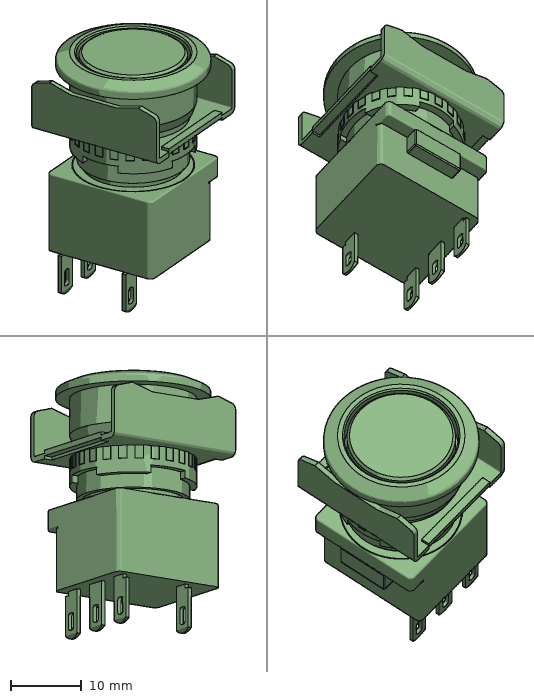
import cadquery as cq

TOP = 36.9
RIM_BOTTOM = TOP - 2.03
TAPER_TOP = TOP - 7.4
TAPER_BOTTOM = TOP - 8.93
NUT_TOP = TOP - 10.85
SLOT_BOTTOM = TOP - 12.73
NUT_BOTTOM = TOP - 14.75
THREAD_BOTTOM = TOP - 16.75
BLOCK_TOP = TOP - 17.75
BLOCK_BOTTOM = TOP - 29.93

BEZEL_R = 11.0
FACE_R = 9.0
CONE_DROP = 0.9
RIM_FILLET = 0.45
BARREL_R = 9.0
TAPER_R = 8.5
THREAD_R = 8.0
NECK_R = 7.25
DISC_R = 8.55
DISC_HEIGHT = 2.0
DISC_GAP = 0.1

GROOVE_R = 8.08
GROOVE_LIP = 0.22
BUTTON_R = 7.68
BUTTON_CHAMFER = 0.37
GROOVE_DEPTH = 2.95

NUT_R = BARREL_R
SLOT_COUNT = 24
SLOT_WIDTH = 1.2
SLOT_FLOOR_R = 8.9
NOTCH_WIDTH = 5.9
NOTCH_HEIGHT = 1.07

BRACKET_LENGTH = 21.0
BRACKET_WIDTH = 20.5
SHEET = 0.8
BEND_R = 1.0
EAR_PEAK = TOP - 2.6
EAR_PEAK_X = 7.45
EAR_VALLEY = TOP - 3.55
EAR_VALLEY_X = 3.9
EAR_CORNER = TOP - 3.47
EAR_CORNER_R = 1.0
STRIP_DEPTH = 1.3
STRIP_LENGTH = 13.85
STRIP_RISE = 0.45

BLOCK_SIDE = 17.7
BLOCK_CORNER_R = 0.8
BLOCK_EDGE_R = 0.25
OVERHANG = 2.0
OVERHANG_HEIGHT = 3.1
CLEAT_HEIGHT = 6.53
CLEAT_WIDTH = 8.0
CLEAT_EDGE = 0.2

TERMINAL_THICKNESS = 0.6
TERMINAL_HALF_WIDTH = 1.48
TERMINAL_OUTER_HALF_WIDTH = 1.35
SHOULDER_HALF_WIDTH = 0.65
SHOULDER_DROP = 0.6
TERMINAL_PITCH = 6.0
TERMINAL_ROW_X = -6.95
LONE_TERMINAL_X = 3.85
TIP_HEIGHT = 0.6
TIP_BEVEL = 0.15
EYE_WIDTH = 1.2
EYE_LENGTH = 2.5
EYE_CENTER = 2.5
EYE_CORNER_R = 0.45


def cylinder(radius, bottom, top):
    return cq.Workplane("XY", origin=(0, 0, bottom)).circle(radius).extrude(top - bottom)


def turn(shape, angle):
    """Turn a shape about the vertical axis."""
    return shape.rotate((0, 0, 0), (0, 0, 1), angle)


def make_operator():
    outline = [
        (0, TOP),
        (BUTTON_R - BUTTON_CHAMFER, TOP),
        (BUTTON_R, TOP - BUTTON_CHAMFER),
        (BUTTON_R, TOP - GROOVE_DEPTH),
        (GROOVE_R, TOP - GROOVE_DEPTH),
        (GROOVE_R, TOP - GROOVE_LIP),
        (GROOVE_R + GROOVE_LIP, TOP),
        (FACE_R, TOP),
        (BEZEL_R, TOP - CONE_DROP),
        (BEZEL_R, RIM_BOTTOM),
        (BARREL_R, RIM_BOTTOM),
        (BARREL_R, TAPER_TOP),
        (TAPER_R, TAPER_BOTTOM),
        (THREAD_R, TAPER_BOTTOM),
        (THREAD_R, THREAD_BOTTOM),
        (NECK_R, THREAD_BOTTOM),
        (NECK_R, BLOCK_TOP),
        (DISC_R, BLOCK_TOP),
        (DISC_R, BLOCK_TOP - DISC_HEIGHT),
        (0, BLOCK_TOP - DISC_HEIGHT),
    ]
    body = cq.Workplane("XZ").polyline(outline).close().revolve(360, (0, 0), (0, 1))
    rim_edge = cq.selectors.NearestToPointSelector((0, 0, TOP - CONE_DROP))
    return body.edges(rim_edge).fillet(RIM_FILLET)


def make_nut():
    nut = cylinder(NUT_R, NUT_BOTTOM, NUT_TOP)
    notch = cq.Workplane("XY", origin=(0, 0, NUT_BOTTOM)).rect(3 * NUT_R, NOTCH_WIDTH).extrude(NOTCH_HEIGHT)
    for angle in (0, 90):
        nut = nut.cut(turn(notch, angle))
    slot = (
        cq.Workplane("XY", origin=(NUT_R, 0, SLOT_BOTTOM))
        .rect(NUT_R / 2, SLOT_WIDTH)
        .extrude(NUT_TOP - SLOT_BOTTOM)
        .cut(cylinder(SLOT_FLOOR_R, SLOT_BOTTOM, NUT_TOP))
    )
    for index in range(SLOT_COUNT):
        nut = nut.cut(turn(slot, index * 360 / SLOT_COUNT))
    return nut.cut(cylinder(THREAD_R, NUT_BOTTOM, NUT_TOP))


def rounded_channel(width, bottom, bend_radius):
    """A bar along X up to the ear peaks, with its two lower edges rounded."""
    return (
        cq.Workplane("XY", origin=(0, 0, bottom))
        .box(BRACKET_LENGTH, width, EAR_PEAK - bottom, centered=(True, True, False))
        .edges("|X and <Z").fillet(bend_radius)
    )


def ear_profile():
    """The wavy outline of the ears, wide enough in Y to hold the whole bracket."""
    half_length = BRACKET_LENGTH / 2
    profile = (
        cq.Workplane("XZ")
        .polyline([
            (-half_length, NUT_TOP),
            (-half_length, EAR_CORNER),
            (-EAR_PEAK_X, EAR_PEAK),
            (-EAR_VALLEY_X, EAR_VALLEY),
            (EAR_VALLEY_X, EAR_VALLEY),
            (EAR_PEAK_X, EAR_PEAK),
            (half_length, EAR_CORNER),
            (half_length, NUT_TOP),
        ])
        .close()
        .extrude(BRACKET_WIDTH / 2, both=True)
    )
    for side in ("<X", ">X"):
        profile = profile.faces(side).edges("|Y and >Z").fillet(EAR_CORNER_R)
    return profile


def make_bracket():
    outside = rounded_channel(BRACKET_WIDTH, NUT_TOP, BEND_R)
    inside = rounded_channel(BRACKET_WIDTH - 2 * SHEET, NUT_TOP + SHEET, BEND_R - SHEET)
    bracket = outside.cut(inside).intersect(ear_profile())
    for side in (-1, 1):
        strip_x = side * (BRACKET_LENGTH - STRIP_DEPTH) / 2
        strip = (
            cq.Workplane("XY", origin=(strip_x, 0, NUT_TOP)).rect(STRIP_DEPTH, STRIP_LENGTH).extrude(SHEET)
        )
        bracket = bracket.cut(strip).union(strip.translate((0, 0, STRIP_RISE)))
    return bracket.cut(cylinder(THREAD_R, NUT_TOP, TOP))


def block_slab(y_back, bottom, top):
    """A slab with rounded corners from the front of the block back to y_back."""
    depth = y_back + BLOCK_SIDE / 2
    return (
        cq.Workplane("XY", origin=(0, y_back - depth / 2, bottom))
        .box(BLOCK_SIDE, depth, top - bottom, centered=(True, True, False))
        .edges("|Z").fillet(BLOCK_CORNER_R)
    )


def make_case():
    """The block's case: the upper slab hangs over the lower part at the back."""
    slab_back = BLOCK_SIDE / 2
    lower_back = slab_back - OVERHANG
    slab_bottom = BLOCK_TOP - OVERHANG_HEIGHT
    slab = block_slab(slab_back, slab_bottom, BLOCK_TOP).faces("<Z").edges().fillet(BLOCK_EDGE_R)
    lower = block_slab(lower_back, BLOCK_BOTTOM, slab_bottom)
    core_back = lower_back - BLOCK_CORNER_R
    core = block_slab(slab_back, BLOCK_BOTTOM, BLOCK_TOP).intersect(
        cq.Workplane("XY", origin=(0, core_back - BLOCK_SIDE, BLOCK_BOTTOM))
        .box(BLOCK_SIDE, 2 * BLOCK_SIDE, BLOCK_TOP - BLOCK_BOTTOM, centered=(True, True, False))
    )
    return slab.union(lower).union(core).faces(">Z").edges().fillet(BLOCK_EDGE_R)


def make_cleat():
    """The small block under the overhang."""
    return (
        cq.Workplane("XY", origin=(0, BLOCK_SIDE / 2 - OVERHANG, BLOCK_TOP - CLEAT_HEIGHT))
        .box(CLEAT_WIDTH, OVERHANG, CLEAT_HEIGHT - OVERHANG_HEIGHT, centered=(True, False, False))
        .faces(">Y or <Z").edges("not <Y").edges("not >Z").chamfer(CLEAT_EDGE)
    )


def make_terminal(x, row_position):
    """One terminal; row_position is -1, 0 or 1, and the end ones have a shoulder on their outer side."""
    half_thickness = TERMINAL_THICKNESS / 2
    right = TERMINAL_OUTER_HALF_WIDTH if row_position > 0 else TERMINAL_HALF_WIDTH
    left = TERMINAL_OUTER_HALF_WIDTH if row_position < 0 else TERMINAL_HALF_WIDTH
    blade = (
        cq.Workplane("YZ")
        .moveTo(-left, BLOCK_BOTTOM)
        .lineTo(-left, TIP_HEIGHT)
        .threePointArc((0, 0), (right, TIP_HEIGHT))
        .lineTo(right, BLOCK_BOTTOM)
        .close()
        .extrude(half_thickness, both=True)
    )
    bevelled_bar = (
        cq.Workplane("XZ")
        .polyline([
            (-half_thickness, BLOCK_BOTTOM),
            (-half_thickness, TIP_HEIGHT),
            (TIP_BEVEL - half_thickness, 0),
            (half_thickness - TIP_BEVEL, 0),
            (half_thickness, TIP_HEIGHT),
            (half_thickness, BLOCK_BOTTOM),
        ])
        .close()
        .extrude(TERMINAL_HALF_WIDTH, both=True)
    )
    eye = (
        cq.Workplane("XY", origin=(0, 0, EYE_CENTER))
        .box(2 * TERMINAL_THICKNESS, EYE_WIDTH, EYE_LENGTH)
        .edges("|X").fillet(EYE_CORNER_R)
    )
    blade = blade.intersect(bevelled_bar).cut(eye)
    if row_position:
        relief_y = row_position * (SHOULDER_HALF_WIDTH + TERMINAL_HALF_WIDTH / 2)
        relief = (
            cq.Workplane("XY", origin=(0, relief_y, BLOCK_BOTTOM))
            .box(2 * TERMINAL_THICKNESS, TERMINAL_HALF_WIDTH, 2 * SHOULDER_DROP)
        )
        blade = blade.cut(relief)
    return blade.translate((x, row_position * TERMINAL_PITCH - OVERHANG / 2, 0))


def make_block():
    block = make_case().union(make_cleat())
    for row_position in (-1, 0, 1):
        block = block.union(make_terminal(TERMINAL_ROW_X, row_position))
    block = block.union(make_terminal(LONE_TERMINAL_X, -1))
    return block.cut(cylinder(DISC_R + DISC_GAP, BLOCK_TOP - DISC_HEIGHT, BLOCK_TOP))


operator = make_operator()
nut = make_nut()
bracket = make_bracket()
block = make_block()
result = cq.Compound.makeCompound([
    operator.solids().val(),
    nut.solids().val(),
    bracket.solids().val(),
    block.solids().val(),
])